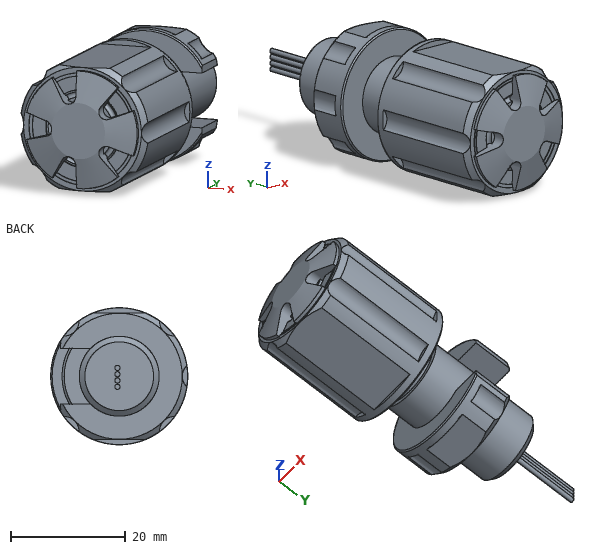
import cadquery as cq
import math


outer_diameter = 24.0
outer_radius = outer_diameter / 2
body_diameter = 14.0
body_radius = body_diameter / 2
neck_diameter = 12.05
neck_radius = neck_diameter / 2
chamfer = 1.0
rim_break = 0.25

cutter_margin = 0.65

grille_edge_y = 1.35
cap_front_y = 2.0
grip_end_y = 23.45
cap_back_y = 25.0
seat_end_y = 25.4
shoulder_y = 27.55
body_end_y = 51.1
wire_end_y = 65.1
seat_radius = 10.0
seat_break = 0.4

nut_front_y = 34.0
nut_grip_start_y = 35.7
nut_back_y = 42.1
nut_slot_half_width = 4.9
nut_tip_x = 10.3

flat_height = outer_radius - chamfer
flute_bottom_radius = flat_height
flute_knee_radius = 11.5
flute_knee_half_width = 1.5
flute_wall_angle = 45.0
flute_angles = (0, 45, 135, 180, 225, 315)

grille_radius = 10.5
hub_radius = 5.0
window_count = 5
window_outer_radius = 10.0
window_inner_radius = hub_radius
window_end_radius = 1.35
window_side_angle = 15.0
ledge_radius = 9.45
ledge_y = 2.15
window_floor_y = 2.3
groove_step_radius = 6.95
groove_step_y = 2.6
groove_centre_radius = 6.2
groove_radius = 0.45

wire_radius = 0.45
wire_x = 0.3
wire_pitch = 1.1
wire_count = 4
wire_row_z = -0.2
wire_embed = 0.65


def revolve_profile(points):
    """Solid of revolution about Y from (radius, y) points."""
    return cq.Workplane("XY").polyline(points).close().revolve(360, (0, 0, 0), (0, 1, 0))


def cylinder_y(radius, start_y, end_y, x=0.0, z=0.0):
    """Cylinder along Y between two stations."""
    return cq.Workplane("XY").add(
        cq.Solid.makeCylinder(radius, end_y - start_y, cq.Vector(x, start_y, z), cq.Vector(0, 1, 0))
    )


def make_flute(start_y, end_y):
    """Flute cutter on the +X side between two stations."""
    top_radius = outer_radius + cutter_margin
    wall_run = (top_radius - flute_knee_radius) * math.tan(math.radians(flute_wall_angle))
    top_half_width = flute_knee_half_width + wall_run
    profile = (
        cq.Workplane("XZ", origin=(0, start_y, 0))
        .moveTo(top_radius, top_half_width)
        .lineTo(flute_knee_radius, flute_knee_half_width)
        .threePointArc((flute_bottom_radius, 0), (flute_knee_radius, -flute_knee_half_width))
        .lineTo(top_radius, -top_half_width)
        .close()
    )
    return profile.extrude(start_y - end_y)


def cut_grip(part, start_y, end_y):
    """Cut the two flats and the six flutes between two stations."""
    length = end_y - start_y
    flute = make_flute(start_y, end_y)
    for side in (1, -1):
        block = cq.Workplane("XY").box(2 * outer_radius, length, outer_radius, centered=(True, False, True))
        part = part.cut(block.translate((0, start_y, side * (flat_height + outer_radius / 2))))
    for angle in flute_angles:
        part = part.cut(flute.rotate((0, 0, 0), (0, 1, 0), angle))
    return part


def make_window(end_y):
    """Tapered cutter on the -X side with a rounded inner end, from the front face to end_y."""
    slope = math.radians(window_side_angle)
    end_centre = window_inner_radius + window_end_radius
    tangent_r = end_centre - window_end_radius * math.sin(slope)
    tangent_half = window_end_radius * math.cos(slope)
    wide_half = tangent_half + (outer_radius - tangent_r) * math.tan(slope)
    profile = (
        cq.Workplane("XZ")
        .moveTo(-outer_radius, wide_half)
        .lineTo(-tangent_r, tangent_half)
        .threePointArc((-window_inner_radius, 0), (-tangent_r, -tangent_half))
        .lineTo(-outer_radius, -wide_half)
        .close()
    )
    return profile.extrude(-end_y)


def cut_windows(part):
    """Cut the ring of grille windows: rim opening, ledge, floor and the stepped round-bottomed groove."""
    groove_bottom_y = groove_step_y + groove_radius
    full = make_window(groove_bottom_y)
    groove_inner = groove_centre_radius - groove_radius
    groove_outer = groove_centre_radius + groove_radius
    groove = (
        cq.Workplane("XY")
        .moveTo(groove_inner, 0)
        .lineTo(groove_inner, groove_step_y)
        .threePointArc((groove_centre_radius, groove_bottom_y), (groove_outer, groove_step_y))
        .lineTo(groove_step_radius, groove_step_y)
        .lineTo(groove_step_radius, 0)
        .close()
        .revolve(360, (0, 0, 0), (0, 1, 0))
    )
    window = full.intersect(
        cylinder_y(window_outer_radius, 0, ledge_y)
        .union(cylinder_y(ledge_radius, 0, window_floor_y))
        .union(groove)
    )
    window = window.union(full.intersect(cylinder_y(outer_radius, 0, cap_front_y)))
    for index in range(window_count):
        part = part.cut(window.rotate((0, 0, 0), (0, 1, 0), index * 360 / window_count))
    return part


def make_housing():
    housing = revolve_profile([
        (0, 0),
        (hub_radius, 0),
        (grille_radius, grille_edge_y),
        (grille_radius, cap_front_y),
        (outer_radius - chamfer, cap_front_y),
        (outer_radius, cap_front_y + chamfer),
        (outer_radius, cap_back_y - rim_break),
        (outer_radius - rim_break, cap_back_y),
        (seat_radius, cap_back_y),
        (seat_radius - seat_break, seat_end_y),
        (neck_radius, seat_end_y),
        (neck_radius, shoulder_y),
        (body_radius, shoulder_y),
        (body_radius, body_end_y - chamfer),
        (body_radius - chamfer, body_end_y),
        (0, body_end_y),
    ])
    housing = cut_grip(housing, cap_front_y, grip_end_y)
    housing = cut_windows(housing)
    for index in range(wire_count):
        z = wire_row_z + (index - (wire_count - 1) / 2) * wire_pitch
        wire = cylinder_y(wire_radius, body_end_y - wire_embed, wire_end_y, wire_x, z)
        housing = housing.union(wire)
    return housing


def make_nut():
    nut = revolve_profile([
        (body_radius, nut_front_y),
        (outer_radius - rim_break, nut_front_y),
        (outer_radius, nut_front_y + rim_break),
        (outer_radius, nut_back_y - chamfer),
        (outer_radius - chamfer, nut_back_y),
        (body_radius, nut_back_y),
    ])
    nut = cut_grip(nut, nut_grip_start_y, nut_back_y)
    length = nut_back_y - nut_front_y
    reach = outer_radius + cutter_margin
    slot = cq.Workplane("XY").box(reach, length, 2 * nut_slot_half_width, centered=(False, False, True))
    nut = nut.cut(slot.translate((0, nut_front_y, 0)))
    trim = cq.Workplane("XY").box(reach, length, 2 * reach, centered=(False, False, True))
    return nut.cut(trim.translate((nut_tip_x, nut_front_y, 0)))


housing = make_housing()
nut = make_nut()
result = cq.Compound.makeCompound([housing.val(), nut.val()])